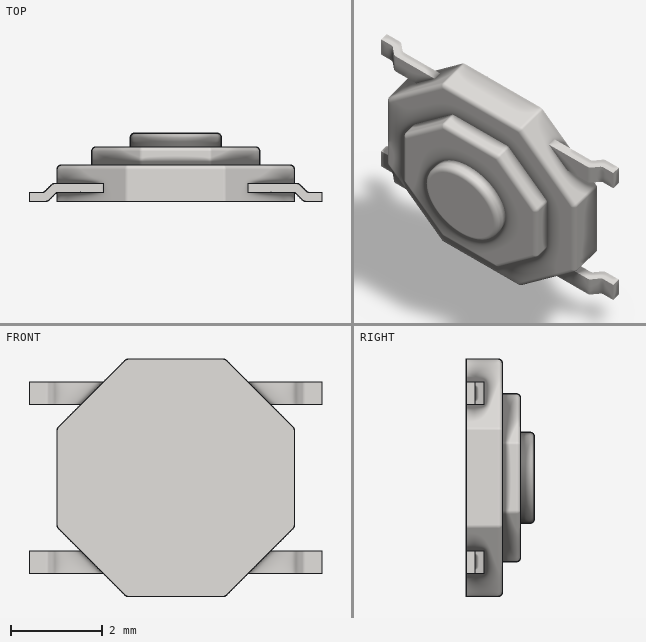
import cadquery as cq
import math


half_bend = math.radians(45 / 2)

base_width = 5.2
base_top = 0.8
tier_width = 3.68
tier_top = 1.2
button_diameter = 2.0
button_top = 1.5
edge_radius = 0.1

lead_span = 6.4
lead_thickness = 0.2
lead_width = 0.5
lead_spacing = 3.69
lead_bend_start = 0.4
lead_bend_radius = 0.1
lead_inner_end = 1.28


def octagonal_tier(width, bottom, top):
    """Regular octagonal block, rounded on its side corners and top rim."""
    flat = width * math.tan(half_bend)
    corner = (width - flat) / 2
    block = (
        cq.Workplane("XY")
        .box(width, top - bottom, width, centered=(True, False, True))
        .translate((0, bottom, 0))
    )
    octagon = block.edges("|Y").chamfer(corner)
    return octagon.edges("|Y").fillet(edge_radius).faces(">Y").edges().fillet(edge_radius)


def button():
    """Round plunger with a rounded rim, standing on the upper tier."""
    return (
        cq.Workplane("XZ")
        .workplane(offset=-tier_top)
        .circle(button_diameter / 2)
        .extrude(tier_top - button_top)
        .faces(">Y")
        .edges()
        .fillet(edge_radius)
    )


def lead():
    """Lead on the +X, +Z corner: a foot on the mounting face stepped up by one thickness."""
    tip = lead_span / 2
    rise = lead_thickness
    lower_bend = tip - lead_bend_start
    bend_shift = lead_thickness * math.tan(half_bend)
    profile = [
        (tip, 0),
        (lower_bend, 0),
        (lower_bend - rise, rise),
        (lead_inner_end, rise),
        (lead_inner_end, rise + lead_thickness),
        (lower_bend - rise + bend_shift, rise + lead_thickness),
        (lower_bend + bend_shift, lead_thickness),
        (tip, lead_thickness),
    ]
    strip = cq.Workplane("XY").polyline(profile).close().extrude(lead_width)
    bends = strip.edges("|Z").edges(
        cq.selectors.BoxSelector(
            (lower_bend - 2 * rise, -rise, -lead_width),
            (lower_bend + 2 * bend_shift, 3 * rise, 2 * lead_width),
        )
    )
    return bends.fillet(lead_bend_radius).translate((0, 0, (lead_spacing - lead_width) / 2))


result = octagonal_tier(base_width, 0, base_top)
result = result.union(octagonal_tier(tier_width, base_top, tier_top))
result = result.union(button())

right_upper_lead = lead()
right_leads = right_upper_lead.union(right_upper_lead.mirror("XY"))
result = result.union(right_leads).union(right_leads.mirror("YZ"))